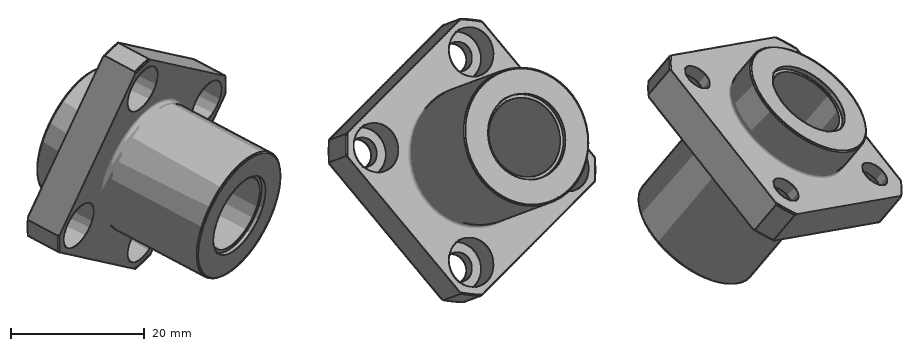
import cadquery as cq
import math

length = 30.0
sleeve_radius = 21.0 / 2
bore_radius = 12.0 / 2
end_chamfer = 0.2

recess_radius = 13.05 / 2
recess_depth = 0.7

flange_start = 6.0
flange_thickness = 6.0
flange_end = flange_start + flange_thickness
flange_side = 32.0
flange_corner_radius = 42.0 / 2
flange_corner_chamfer = 0.2

relief_depth = 0.15
relief_fillet = 0.5
relief_taper_angle = math.radians(15)

hole_count = 4
hole_circle_radius = 32.0 / 2
hole_diameter = 4.5
counterbore_diameter = 7.5
counterbore_depth = 4.1


def disc(radius, start, thickness):
    """Cylinder around the X axis."""
    return cq.Workplane("YZ", origin=(start, 0, 0)).circle(radius).extrude(thickness)


def make_sleeve():
    return disc(sleeve_radius, 0, length).edges().chamfer(end_chamfer)


def make_flange():
    square = (
        cq.Workplane("YZ", origin=(flange_start, 0, 0))
        .transformed(rotate=(0, 0, 45))
        .rect(flange_side, flange_side)
        .extrude(flange_thickness)
    )
    corner_round = disc(flange_corner_radius, flange_start, flange_thickness)
    return square.intersect(corner_round.edges().chamfer(flange_corner_chamfer))


def make_relief(face_x, outward):
    """Ring to remove beside a flange face; outward is the X sense away from the flange."""
    floor_radius = sleeve_radius - relief_depth
    centre_radius = floor_radius + relief_fillet
    floor_x = face_x + outward * relief_fillet
    tangent_x = floor_x + outward * relief_fillet * math.sin(relief_taper_angle)
    tangent_radius = centre_radius - relief_fillet * math.cos(relief_taper_angle)
    taper_length = (sleeve_radius - tangent_radius) / math.tan(relief_taper_angle)
    taper_end = tangent_x + outward * taper_length
    return (
        cq.Workplane("XY")
        .moveTo(face_x, centre_radius)
        .radiusArc((tangent_x, tangent_radius), -outward * relief_fillet)
        .lineTo(taper_end, sleeve_radius)
        .lineTo(taper_end, centre_radius)
        .close()
        .revolve(360, (0, 0, 0), (1, 0, 0))
    )


def make_root(face_x, outward):
    """Collar filling the corner beside a flange face before the relief is turned."""
    collar_radius = sleeve_radius - relief_depth + relief_fillet
    start = min(face_x, face_x + outward * relief_fillet)
    return disc(collar_radius, start, relief_fillet)


def make_bore():
    recess_starts = (0, length - recess_depth)
    bore = disc(bore_radius, 0, length)
    for start in recess_starts:
        bore = bore.union(disc(recess_radius, start, recess_depth))
    return bore


def drill_screw_holes(body):
    return (
        body.copyWorkplane(cq.Workplane("YZ", origin=(flange_end, 0, 0)))
        .polarArray(hole_circle_radius, 0, 360, hole_count)
        .cboreHole(hole_diameter, counterbore_diameter, counterbore_depth, flange_thickness)
    )


result = drill_screw_holes(make_flange()).union(make_sleeve())
for face_x, outward in ((flange_start, -1), (flange_end, 1)):
    result = result.union(make_root(face_x, outward)).cut(make_relief(face_x, outward))
result = result.cut(make_bore())